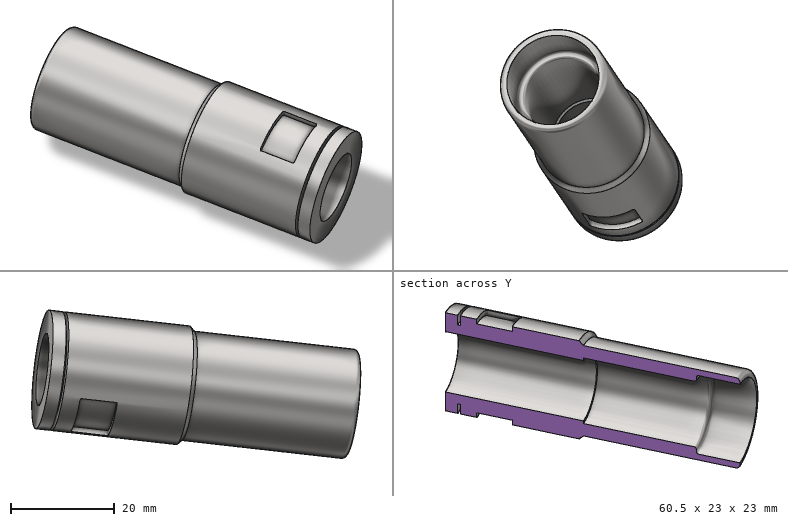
import cadquery as cq
import math

length = 60.5
body_radius = 23.0 / 2
nose_radius = 21.2 / 2
step_x = 32.1
rim_radius = 0.95
rim_inner_radius = nose_radius - rim_radius

groove_x = 57.4
groove_width = 0.55
groove_radius = 18.5 / 2

socket_radius = 18.2 / 2
shoulder_x = 8.5
shoulder_round = 0.5
seat_radius = 15.2 / 2
seat_end_x = step_x
hole_radius = 14.0 / 2

pocket_x = 46.75
pocket_length = 7.25
pocket_width = 10.4
pocket_floor_radius = 10.4
pocket_corner_radius = 0.35


def make_body():
    """Revolve the stepped outside, with a rounded rim and a conical step."""
    step_height = body_radius - nose_radius
    arc_middle = rim_radius * math.sqrt(0.5)
    profile = (
        cq.Workplane("XY")
        .moveTo(0, 0)
        .lineTo(0, rim_inner_radius)
        .threePointArc((rim_radius - arc_middle, rim_inner_radius + arc_middle), (rim_radius, nose_radius))
        .lineTo(step_x, nose_radius)
        .lineTo(step_x + step_height, body_radius)
        .lineTo(groove_x, body_radius)
        .lineTo(groove_x, groove_radius)
        .lineTo(groove_x + groove_width, groove_radius)
        .lineTo(groove_x + groove_width, body_radius)
        .lineTo(length, body_radius)
        .lineTo(length, 0)
        .close()
    )
    return profile.revolve(360, (0, 0, 0), (1, 0, 0))


def make_bore():
    """Revolve the space inside the sleeve, from the mouth to the rear end."""
    face_x = shoulder_x + shoulder_round
    corner = shoulder_round * (1 - math.sqrt(0.5))
    profile = (
        cq.Workplane("XY")
        .moveTo(0, 0)
        .lineTo(0, socket_radius)
        .lineTo(shoulder_x, socket_radius)
        .threePointArc((face_x - corner, socket_radius - corner), (face_x, socket_radius - shoulder_round))
        .lineTo(face_x, seat_radius + shoulder_round)
        .threePointArc((face_x + corner, seat_radius + corner), (face_x + shoulder_round, seat_radius))
        .lineTo(seat_end_x, seat_radius)
        .lineTo(seat_end_x, hole_radius)
        .lineTo(length, hole_radius)
        .lineTo(length, 0)
        .close()
    )
    return profile.revolve(360, (0, 0, 0), (1, 0, 0))


def make_pockets():
    """Round-cornered bars through top and bottom, hollowed to the pocket floor."""
    through_height = 3 * body_radius
    bar = (
        cq.Workplane("XY")
        .box(pocket_length, pocket_width, through_height)
        .edges("|Z")
        .fillet(pocket_corner_radius)
        .translate((pocket_x + pocket_length / 2, 0, 0))
    )
    floor = cq.Workplane("YZ").circle(pocket_floor_radius).extrude(length)
    return bar.cut(floor)


result = make_body().cut(make_bore()).cut(make_pockets())